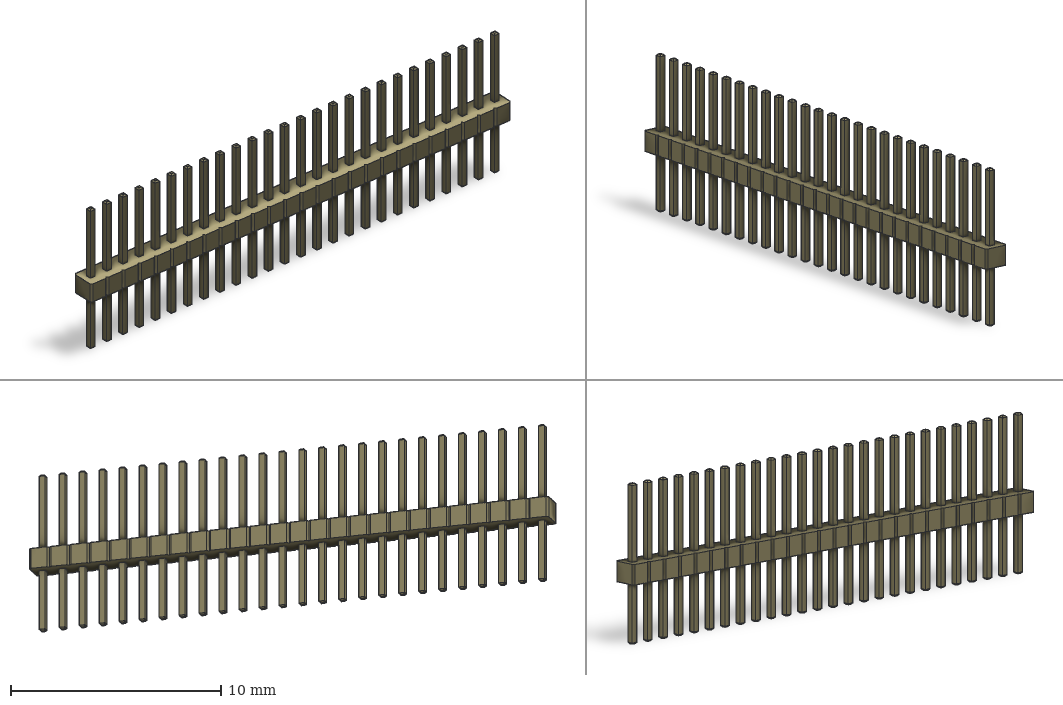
import cadquery as cq

pin_count = 26
pitch = 1.0

body_width = 1.27
body_height = 1.0
corner_chamfer = 0.1

pin_side = 0.3
pin_above_body = 3.8
pin_below_body = 3.0
tip_chamfer = pin_side / 4


def make_body_segment():
    """Insulator block of one position, standing on Z = 0."""
    block = cq.Workplane("XY").box(body_width, pitch, body_height, centered=(True, True, False))
    return block.edges("|Z").chamfer(corner_chamfer)


def make_pin():
    """Square pin running through the block, with all tip edges chamfered."""
    pin_length = pin_below_body + body_height + pin_above_body
    pin = cq.Workplane("XY").box(pin_side, pin_side, pin_length, centered=(True, True, False))
    pin = pin.faces("<Z or >Z").chamfer(tip_chamfer)
    return pin.translate((0, 0, -pin_below_body))


position = make_body_segment().union(make_pin())
first_y = -(pin_count - 1) * pitch / 2

result = position.translate((0, first_y, 0))
for index in range(1, pin_count):
    result = result.union(position.translate((0, first_y + index * pitch, 0)))
result = result.clean()